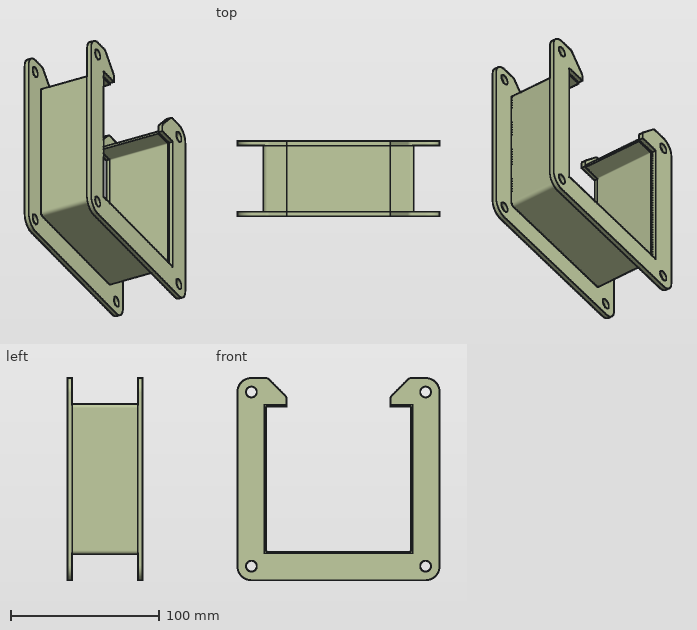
import cadquery as cq

frame_size = 136.54
frame_depth = 50.8
half_frame = frame_size / 2

flange_thickness = 3.175
corner_radius = 9.525
hole_diameter = 7.14
hole_offset = half_frame - corner_radius
opening_half = 50.0125
gap_half = 34.925
tip_chamfer = 12.95
tip_fillet = 3.175

sheet_thickness = 1.905
channel_half = 50.8
inner_bend_radius = 0.79375
bend_radius = inner_bend_radius + sheet_thickness
channel_length = frame_depth - 2 * flange_thickness


def block_in_front_plane(half_width, depth):
    """Square block about the Y axis, running from Y = 0 toward +Y."""
    return cq.Workplane("XZ").rect(2 * half_width, 2 * half_width).extrude(-depth)


def top_gap(depth):
    """Slot that opens the top side of the frame."""
    return (
        cq.Workplane("XZ")
        .center(0, half_frame / 2)
        .rect(2 * gap_half, half_frame)
        .extrude(-depth)
    )


def chamfer_cutter(side):
    """Triangle that cuts one top tip at 45 degrees; side is -1 or +1."""
    tip_x = side * gap_half
    return (
        cq.Workplane("XZ")
        .moveTo(tip_x, half_frame)
        .lineTo(tip_x + side * tip_chamfer, half_frame)
        .lineTo(tip_x, half_frame - tip_chamfer)
        .close()
        .extrude(-flange_thickness)
    )


def round_chamfer_ends(plate, side):
    """Fillet the two corners where the chamfer meets the top and the tip."""
    tip_x = side * gap_half
    ends = [
        (tip_x + side * tip_chamfer, half_frame),
        (tip_x, half_frame - tip_chamfer),
    ]
    for x, z in ends:
        corner = cq.selectors.NearestToPointSelector((x, flange_thickness / 2, z))
        plate = plate.edges("|Y").edges(corner).fillet(tip_fillet)
    return plate


def make_flange(front_y):
    """Open square plate with corner holes, its front face at front_y."""
    plate = block_in_front_plane(half_frame, flange_thickness).edges("|Y").fillet(corner_radius)
    plate = plate.cut(block_in_front_plane(opening_half, flange_thickness))
    plate = plate.cut(top_gap(flange_thickness))
    for side in (-1, 1):
        plate = plate.cut(chamfer_cutter(side))
        plate = round_chamfer_ends(plate, side)
    holes = (
        cq.Workplane("XZ")
        .rect(2 * hole_offset, 2 * hole_offset, forConstruction=True)
        .vertices()
        .circle(hole_diameter / 2)
        .extrude(-flange_thickness)
    )
    return plate.cut(holes).translate((0, front_y, 0))


def make_channel():
    """Square sheet tube with rounded folds, open along the top gap."""
    outside = block_in_front_plane(channel_half, channel_length).edges("|Y").fillet(bend_radius)
    inside = (
        block_in_front_plane(channel_half - sheet_thickness, channel_length)
        .edges("|Y")
        .fillet(inner_bend_radius)
    )
    channel = outside.cut(inside).cut(top_gap(channel_length))
    return channel.translate((0, -channel_length / 2, 0))


flange_front_faces = [-frame_depth / 2, frame_depth / 2 - flange_thickness]
flanges = [make_flange(front_y) for front_y in flange_front_faces]
channel = make_channel()

result = cq.Compound.makeCompound([channel.val(), *[flange.val() for flange in flanges]])